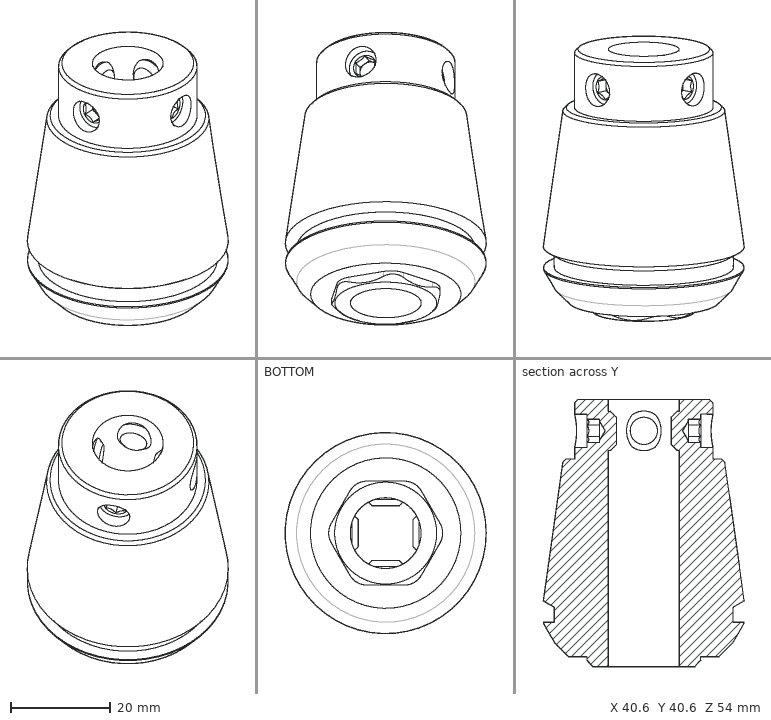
import math
import cadquery as cq

total_height = 54.0
shoulder_z = 42.0
skirt_bottom_z = 13.3
groove_bottom_z = 9.05
nose_rim_z = 8.75
nose_bottom_z = 2.0

collar_diameter = 28.0
edge_chamfer = 0.7
skirt_diameter = 40.64
skirt_taper = math.radians(8)
groove_diameter = 36.2
groove_flank_angle = math.radians(30)
nose_diameter = 40.55
nose_mid_radius = 18.0
nose_upper_angle = math.radians(30)
nose_lower_angle = math.radians(45)
bore_diameter = 14.29

hex_across_flats = 21.0
hex_corner_radius = 4.0
hex_cone_bottom_radius = 10.3
hex_cone_height = 1.3
hex_cone_growth = 1.2

screw_count = 4
screw_z = 47.65
screw_hole_diameter = 6.65
screw_diameter = 8.0
screw_length = 6.0
screw_tip_diameter = 5.5
screw_tip_angle = math.radians(45)
screw_tip_offset = 5.5
socket_across_flats = 4.0
socket_mouth_diameter = 4.8
socket_depth = 2.5
socket_cone_angle = math.radians(30)


def hexagon(across_flats):
    """Hexagon wire in the XY plane with two flats facing +Y and -Y."""
    return cq.Workplane("XY").polygon(6, across_flats / math.cos(math.pi / 6))


def turned_body():
    """Collar, tapered skirt, groove and two-angle nose as one revolved profile."""
    collar_radius = collar_diameter / 2
    skirt_radius = skirt_diameter / 2
    groove_radius = groove_diameter / 2
    nose_radius = nose_diameter / 2

    skirt_top_z = shoulder_z - edge_chamfer
    skirt_top_radius = skirt_radius - (skirt_top_z - skirt_bottom_z) * math.tan(skirt_taper)
    groove_top_z = skirt_bottom_z - (skirt_radius - groove_radius) * math.tan(groove_flank_angle)
    nose_mid_z = nose_rim_z - (nose_radius - nose_mid_radius) / math.tan(nose_upper_angle)
    nose_bottom_radius = nose_mid_radius - (nose_mid_z - nose_bottom_z) * math.tan(nose_lower_angle)

    profile = [
        (0, nose_bottom_z),
        (nose_bottom_radius, nose_bottom_z),
        (nose_mid_radius, nose_mid_z),
        (nose_radius, nose_rim_z),
        (nose_radius, groove_bottom_z),
        (groove_radius, groove_bottom_z),
        (groove_radius, groove_top_z),
        (skirt_radius, skirt_bottom_z),
        (skirt_top_radius, skirt_top_z),
        (skirt_top_radius - edge_chamfer, shoulder_z),
        (collar_radius, shoulder_z),
        (collar_radius, total_height - edge_chamfer),
        (collar_radius - edge_chamfer, total_height),
        (0, total_height),
    ]
    return cq.Workplane("XZ").polyline(profile).close().revolve(360, (0, 0), (0, 1))


def hex_base():
    """Hex with rounded corners, trimmed by a cone at its bottom end."""
    height = nose_bottom_z
    prism = hexagon(hex_across_flats).extrude(height).edges("|Z").fillet(hex_corner_radius)
    cone_top_radius = hex_cone_bottom_radius + hex_cone_growth
    trim = (
        cq.Workplane("XZ")
        .moveTo(0, 0)
        .lineTo(hex_cone_bottom_radius, 0)
        .lineTo(cone_top_radius, hex_cone_height)
        .lineTo(hex_across_flats, hex_cone_height)
        .lineTo(hex_across_flats, height)
        .lineTo(0, height)
        .close()
        .revolve(360, (0, 0), (0, 1))
    )
    return prism.intersect(trim)


def set_screw():
    """Set screw along +Z: flat point at Z = 0, hex socket in the far end."""
    screw_radius = screw_diameter / 2
    tip_radius = screw_tip_diameter / 2
    tip_height = (screw_radius - tip_radius) / math.tan(screw_tip_angle)
    profile = [
        (0, 0),
        (tip_radius, 0),
        (screw_radius, tip_height),
        (screw_radius, screw_length),
        (0, screw_length),
    ]
    screw = cq.Workplane("XZ").polyline(profile).close().revolve(360, (0, 0), (0, 1))

    floor_z = screw_length - socket_depth
    drill_radius = socket_across_flats / 2
    socket = hexagon(socket_across_flats).extrude(socket_depth).translate((0, 0, floor_z))
    mouth_radius = socket_mouth_diameter / 2
    mouth = cq.Solid.makeCone(
        mouth_radius,
        0,
        mouth_radius,
        cq.Vector(0, 0, screw_length),
        cq.Vector(0, 0, -1),
    )
    drill_point = cq.Solid.makeCone(
        drill_radius,
        0,
        drill_radius * math.tan(socket_cone_angle),
        cq.Vector(0, 0, floor_z),
        cq.Vector(0, 0, -1),
    )
    return screw.cut(socket).cut(cq.Workplane(mouth)).cut(cq.Workplane(drill_point))


def screw_hole():
    """Radial hole cutter along +X, from the axis to outside the collar."""
    return cq.Workplane("YZ").center(0, screw_z).circle(screw_hole_diameter / 2).extrude(collar_diameter)


bore = cq.Workplane("XY").circle(bore_diameter / 2).extrude(total_height)
result = turned_body().union(hex_base()).cut(bore)

placed_screw = set_screw().rotate((0, 0, 0), (0, 1, 0), 90).translate((screw_tip_offset, 0, screw_z))

for index in range(screw_count):
    angle = index * 360 / screw_count
    result = result.cut(screw_hole().rotate((0, 0, 0), (0, 0, 1), angle))
    result = result.union(placed_screw.rotate((0, 0, 0), (0, 0, 1), angle))